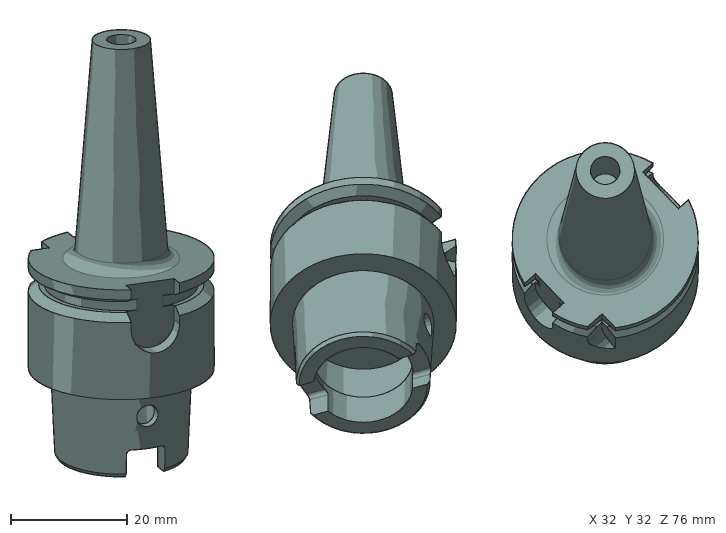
import cadquery as cq
import math

total_height = 76.0
flange_bottom = 15.95
flange_top = 36.0
neck_base = 38.0
groove_cone_bottom = 30.0
groove_bottom = 31.2
groove_top = 33.2
groove_cone_top = 34.2

flange_radius = 16.0
groove_radius = 13.2
lip_radius = 14.2
shank_top_radius = 12.15
shank_end_radius = 11.5
shank_chamfer_radius = 0.45
shank_chamfer_height = 0.7
neck_base_radius = 8.0
nose_radius = 5.0
root_radius = 10.0

nose_bore_radius = 2.5
nose_bore_depth = 10.0
shank_mouth_radius = 8.5
shank_mouth_depth = 6.6
shank_recess_radius = 10.25
shank_shoulder_top = 7.6
shank_bore_depth = flange_bottom
cross_hole_diameter = 3.95
cross_hole_height = 11.2

slot_bottom = 24.1
slot_floor_x = 13.0
narrow_slot_width = 7.15
wide_slot_width = 9.0
corner_notch_offset = 9.5

drive_slot_width = 7.15
shallow_drive_depth = 3.2
deep_drive_depth = 5.1
drive_corner_radius = 0.75


def turned_body():
    """Shank, grooved flange and tapered nose, revolved about Z."""
    root_height = neck_base - flange_top
    root_width = root_radius - neck_base_radius
    bulge = 1 - math.sqrt(0.5)
    root_middle = (neck_base_radius + root_width * bulge, flange_top + root_height * bulge)
    outline = (
        cq.Workplane("XZ")
        .moveTo(0, 0)
        .lineTo(shank_end_radius - shank_chamfer_radius, 0)
        .lineTo(shank_end_radius, shank_chamfer_height)
        .lineTo(shank_top_radius, flange_bottom)
        .lineTo(flange_radius, flange_bottom)
        .lineTo(flange_radius, groove_cone_bottom)
        .lineTo(lip_radius, groove_bottom)
        .lineTo(groove_radius, groove_bottom)
        .lineTo(groove_radius, groove_top)
        .lineTo(lip_radius, groove_top)
        .lineTo(flange_radius, groove_cone_top)
        .lineTo(flange_radius, flange_top)
        .lineTo(root_radius, flange_top)
        .threePointArc(root_middle, (neck_base_radius, neck_base))
        .lineTo(nose_radius, total_height)
        .lineTo(0, total_height)
        .close()
    )
    return outline.revolve(360, (0, 0, 0), (0, 1, 0))


def nose_bore():
    """Blind bore in the nose, on the Z axis."""
    bore_floor = cq.Workplane("XY", origin=(0, 0, total_height - nose_bore_depth))
    return bore_floor.circle(nose_bore_radius).extrude(nose_bore_depth)


def shank_bore():
    """Hollow of the shank: a narrow mouth, a conical shoulder and a wider recess."""
    outline = (
        cq.Workplane("XZ")
        .moveTo(0, 0)
        .lineTo(shank_mouth_radius, 0)
        .lineTo(shank_mouth_radius, shank_mouth_depth)
        .lineTo(shank_recess_radius, shank_shoulder_top)
        .lineTo(shank_recess_radius, shank_bore_depth)
        .lineTo(0, shank_bore_depth)
        .close()
    )
    return outline.revolve(360, (0, 0, 0), (0, 1, 0))


def flange_slot(width, floor_x, side, center_y=0):
    """Round-bottomed slot, open at the flange top and cut in along X from one side."""
    half_width = width / 2
    arc_center = slot_bottom + half_width
    profile = (
        cq.Workplane("YZ", origin=(side * floor_x, 0, 0))
        .moveTo(center_y - half_width, flange_top)
        .lineTo(center_y - half_width, arc_center)
        .threePointArc((center_y, slot_bottom), (center_y + half_width, arc_center))
        .lineTo(center_y + half_width, flange_top)
        .close()
    )
    return profile.extrude(side * flange_radius)


def drive_slot(depth, side):
    """Slot from the axis out through one wall of the shank end, with rounded roof corners."""
    return (
        cq.Workplane("XY")
        .box(flange_radius, drive_slot_width, depth, centered=(False, True, False))
        .edges("|X and >Z")
        .fillet(drive_corner_radius)
        .translate((0 if side > 0 else -flange_radius, 0, 0))
    )


result = turned_body()
result = result.cut(nose_bore())
result = result.cut(shank_bore())

cross_hole = (
    cq.Workplane("YZ", origin=(0, 0, cross_hole_height))
    .circle(cross_hole_diameter / 2)
    .extrude(flange_radius, both=True)
)
result = result.cut(cross_hole)

notch_center_y = -(corner_notch_offset + narrow_slot_width / 2)
result = result.cut(flange_slot(narrow_slot_width, slot_floor_x, -1))
result = result.cut(flange_slot(wide_slot_width, slot_floor_x, 1))
result = result.cut(flange_slot(narrow_slot_width, corner_notch_offset, -1, notch_center_y))

result = result.cut(drive_slot(shallow_drive_depth, -1))
result = result.cut(drive_slot(deep_drive_depth, 1))